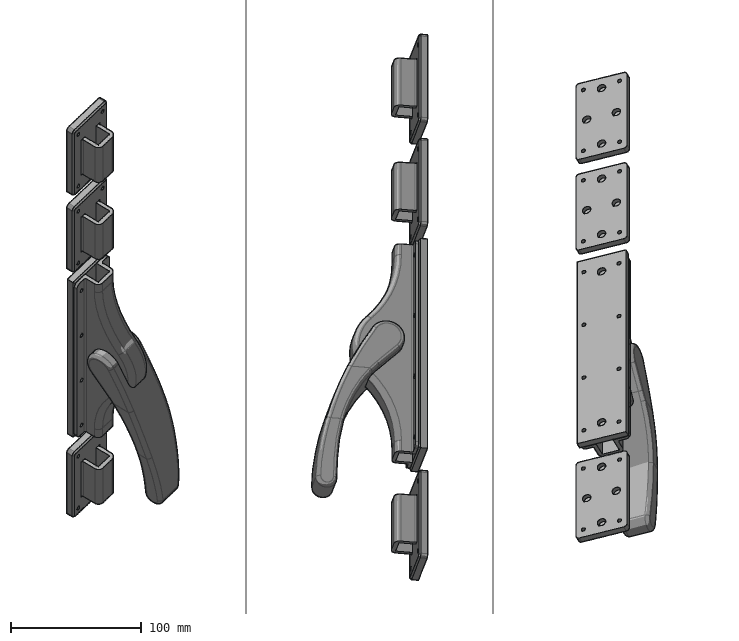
import cadquery as cq
import math


plate_thickness = 6.8
plate_front_chamfer = 1.5
striker_width = 42.0
striker_height = 75.0
striker_corner_radius = 2.5
main_width = 40.0
main_height = 180.0
overall_length = 450.0
top_striker_z = 228.5
striker_pitch = 89.5
bottom_striker_z = top_striker_z + striker_height - overall_length
striker_centres_z = [top_striker_z, top_striker_z - striker_pitch, bottom_striker_z]

small_hole_radius = 1.58
large_hole_radius = 3.38
large_hole_depth = 3.5
striker_small_y = 15.0
striker_small_z = 30.0
striker_large_y = 12.0
striker_large_z = 27.5
main_small_y = 14.5
main_small_pitch = 52.0
main_small_rows = 4
main_large_z = 74.5
main_first_row_z = -main_small_pitch * (main_small_rows - 1) / 2
main_rows_z = [main_first_row_z + main_small_pitch * row for row in range(main_small_rows)]
main_small_points = [(y, z) for y in (-main_small_y, main_small_y) for z in main_rows_z]

channel_width = 20.2
channel_wall = 3.0
channel_inner_x = 20.0
channel_edge_radius = 4.5
channel_root_radius = 1.5
bracket_height = 40.5
bracket_front_x = 23.5

housing_height = 178.0
housing_front_x = 23.0
flange_thickness = 2.5
flange_corner_radius = 4.0
hub_bulge_x = 19.0
hub_bulge_radius = 37.0
flank_radius = 76.5

pivot_x = 30.5
pivot_z = 5.0
pivot_radius = 13.5
handle_half_width = 19.0
handle_edge_radius = 3.0
inner_tangent_angle = 225
outer_tangent_angle = 33
inner_straight_length = 22.5
inner_mid = (61.5, -61.0)
outer_mid = (82.0, -88.0)
tip_x = 76.5
tip_z = -116.5
tip_radius = 8.0
taper_start_z = -24.5
taper_line_z = -69.0
taper_line_half_width = 16.5
tip_half_width = 11.2


def plate(width, height):
    return cq.Workplane("YZ").rect(width, height).extrude(plate_thickness)


def drill(body, points, radius, depth):
    holes = cq.Workplane("YZ").pushPoints(points).circle(radius).extrude(depth)
    return body.cut(holes)


def make_striker_plate(centre_z):
    body = plate(striker_width, striker_height).edges("|X").fillet(striker_corner_radius)
    body = body.faces(">X").edges().chamfer(plate_front_chamfer)
    small_rows = (-striker_small_z, striker_small_z)
    corners = [(y, z) for y in (-striker_small_y, striker_small_y) for z in small_rows]
    diamond = [(0, -striker_large_z), (0, striker_large_z), (-striker_large_y, 0), (striker_large_y, 0)]
    body = drill(body, corners, small_hole_radius, plate_thickness)
    body = drill(body, diamond, large_hole_radius, large_hole_depth)
    return body.translate((0, 0, centre_z))


def make_channel_slot(height):
    """Space inside the channel section, open along its whole length."""
    depth = channel_inner_x - plate_thickness
    width = channel_width - 2 * channel_wall
    return cq.Workplane("XY").box(depth, width, height).translate((plate_thickness + depth / 2, 0, 0))


def make_bracket(centre_z):
    side_y = channel_width / 2
    foot_y = side_y + channel_root_radius
    root_x = plate_thickness + channel_root_radius
    body = (
        cq.Workplane("XY", origin=(0, 0, -bracket_height / 2))
        .moveTo(plate_thickness, -foot_y)
        .radiusArc((root_x, -side_y), channel_root_radius)
        .lineTo(bracket_front_x, -side_y)
        .lineTo(bracket_front_x, side_y)
        .lineTo(root_x, side_y)
        .radiusArc((plate_thickness, foot_y), channel_root_radius)
        .close()
        .extrude(bracket_height)
    )
    body = body.faces(">X").edges("|Z").fillet(channel_edge_radius)
    return body.cut(make_channel_slot(bracket_height)).translate((0, 0, centre_z))


def make_main_plate():
    body = plate(main_width, main_height).faces(">X").edges().chamfer(plate_front_chamfer)
    body = drill(body, main_small_points, small_hole_radius, plate_thickness)
    return drill(body, [(0, -main_large_z), (0, main_large_z)], large_hole_radius, large_hole_depth)


def make_housing_hull():
    """Solid outer shape of the housing without flanges."""
    half = housing_height / 2
    flank_x = housing_front_x + flank_radius
    centre_distance = flank_radius + hub_bulge_radius
    flank_z = math.sqrt(centre_distance**2 - (flank_x - hub_bulge_x) ** 2)
    meet_angle = math.atan2(flank_z, flank_x - hub_bulge_x)
    meet_x = hub_bulge_x + hub_bulge_radius * math.cos(meet_angle)
    meet_z = hub_bulge_radius * math.sin(meet_angle)
    flank_mid_x = flank_x - flank_radius * math.cos(meet_angle / 2)
    flank_mid_z = flank_z - flank_radius * math.sin(meet_angle / 2)
    outline = (
        cq.Workplane("XZ")
        .moveTo(plate_thickness, -half)
        .lineTo(housing_front_x, -half)
        .lineTo(housing_front_x, -flank_z)
        .threePointArc((flank_mid_x, -flank_mid_z), (meet_x, -meet_z))
        .threePointArc((hub_bulge_x + hub_bulge_radius, 0), (meet_x, meet_z))
        .threePointArc((flank_mid_x, flank_mid_z), (housing_front_x, flank_z))
        .lineTo(housing_front_x, half)
        .lineTo(plate_thickness, half)
        .close()
    )
    hull = outline.extrude(channel_width).translate((0, channel_width / 2, 0))
    front_edges = hull.faces("|Y").edges("not(|X or <X)")
    return front_edges.fillet(channel_edge_radius)


def make_housing():
    flange = cq.Workplane("YZ", origin=(plate_thickness, 0, 0)).rect(main_width, housing_height)
    flange = flange.extrude(flange_thickness).edges("|X").fillet(flange_corner_radius)
    body = make_housing_hull().union(flange)
    flange_front_x = plate_thickness + flange_thickness
    root_reach = channel_width / 2 + channel_root_radius
    root_edges = cq.selectors.BoxSelector(
        (plate_thickness, -root_reach, -channel_root_radius),
        (flange_front_x + channel_root_radius, root_reach, channel_root_radius),
    )
    body = body.edges("|Z").edges(root_edges).fillet(channel_root_radius)
    body = body.cut(make_channel_slot(housing_height))
    return drill(body, main_small_points, small_hole_radius, plate_thickness + flange_thickness)


def pivot_point(angle):
    a = math.radians(angle)
    return (pivot_x + pivot_radius * math.cos(a), pivot_z + pivot_radius * math.sin(a))


def make_taper_waste():
    """Material outside the tapered +Y side of the handle, below the straight part of its arms."""
    bottom_z = tip_z - tip_radius
    return (
        cq.Workplane("YZ")
        .moveTo(handle_half_width, taper_start_z)
        .spline(
            [(taper_line_half_width, taper_line_z)],
            tangents=[(0, -1), (tip_half_width - taper_line_half_width, bottom_z - taper_line_z)],
            includeCurrent=True,
        )
        .lineTo(tip_half_width, bottom_z)
        .lineTo(handle_half_width, bottom_z)
        .close()
        .extrude(tip_x + tip_radius)
    )


def make_handle():
    inner_start = pivot_point(inner_tangent_angle)
    inner_direction = math.radians(inner_tangent_angle + 90)
    outer_direction = math.radians(outer_tangent_angle + 90)
    inner_bend = (
        inner_start[0] + inner_straight_length * math.cos(inner_direction),
        inner_start[1] + inner_straight_length * math.sin(inner_direction),
    )
    outer_start = pivot_point(outer_tangent_angle)
    hub_mid = pivot_point((inner_tangent_angle + outer_tangent_angle) / 2)
    body = (
        cq.Workplane("XZ")
        .moveTo(*outer_start)
        .threePointArc(hub_mid, inner_start)
        .lineTo(*inner_bend)
        .spline(
            [inner_mid, (tip_x - tip_radius, tip_z)],
            tangents=[(math.cos(inner_direction), math.sin(inner_direction)), (0, -1)],
            includeCurrent=True,
        )
        .threePointArc((tip_x, tip_z - tip_radius), (tip_x + tip_radius, tip_z))
        .spline(
            [outer_mid, outer_start],
            tangents=[(0, 1), (math.cos(outer_direction), math.sin(outer_direction))],
            includeCurrent=True,
        )
        .close()
        .extrude(2 * handle_half_width)
        .translate((0, handle_half_width, 0))
    )
    waste = make_taper_waste()
    body = body.cut(waste).cut(waste.mirror("XZ"))
    body = body.edges("not (|X or |Y)").fillet(handle_edge_radius)
    return body.cut(make_housing_hull())


striker_plates = [make_striker_plate(z) for z in striker_centres_z]
brackets = [make_bracket(z) for z in striker_centres_z]
main_plate = make_main_plate()
housing = make_housing()
handle = make_handle()

bodies = [*striker_plates, *brackets, main_plate, housing, handle]
result = cq.Compound.makeCompound([body.solids().val() for body in bodies])